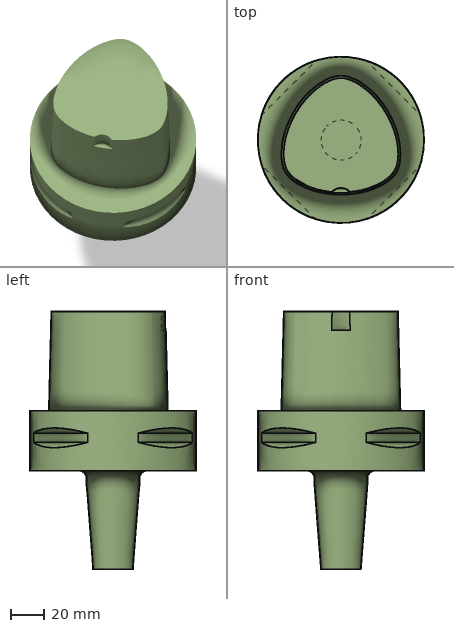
import cadquery as cq
import math

total_height = 155.0
flange_bottom = 59.2
flange_top = 95.3

flange_diameter = 100.0
groove_height = 79.0
groove_floor_width = 5.5
groove_floor_distance = 44.4
groove_flank_angle = 30.0
groove_count = 4

shank_diameter = 32.0
tip_diameter = 24.0
neck_length = 4.2
root_fillet = 4.2

lobe_mean_diameter = 71.6
lobe_height = 2.8
taper_ratio = 1 / 20
lobe_count = 3
first_lobe_angle = 90.0
lobe_half_angle = 22.5
points_per_face = 9

notch_diameter = 14.0
notch_depth = 11.5
notch_center_y = -35.8


def lobe_point(mean_diameter, normal_angle, z):
    """Point of the lobed outline whose outward normal is at normal_angle degrees."""
    normal = math.radians(normal_angle)
    phase = lobe_count * math.radians(normal_angle - first_lobe_angle)
    reach = mean_diameter / 2 + lobe_height * math.cos(phase)
    slide = -lobe_count * lobe_height * math.sin(phase)
    return cq.Vector(
        reach * math.cos(normal) - slide * math.sin(normal),
        reach * math.sin(normal) + slide * math.cos(normal),
        z,
    )


def lobe_tangent(normal_angle):
    normal = math.radians(normal_angle)
    return cq.Vector(-math.sin(normal), math.cos(normal), 0)


def outline_edge(mean_diameter, start, end, z):
    """Smooth stretch of the lobed outline between two normal angles."""
    step = (end - start) / (points_per_face - 1)
    points = [lobe_point(mean_diameter, start + i * step, z) for i in range(points_per_face)]
    return cq.Edge.makeSpline(points, tangents=[lobe_tangent(start), lobe_tangent(end)])


def lobed_outline(mean_diameter, z):
    """Closed outline of alternating lobe and side stretches."""
    pitch = 360 / lobe_count
    edges = []
    for i in range(lobe_count):
        lobe_start = first_lobe_angle + i * pitch - lobe_half_angle
        lobe_end = lobe_start + 2 * lobe_half_angle
        edges.append(outline_edge(mean_diameter, lobe_start, lobe_end, z))
        edges.append(outline_edge(mean_diameter, lobe_end, lobe_start + pitch, z))
    return cq.Wire.assembleEdges(edges)


def make_lobed_taper():
    top_mean_diameter = lobe_mean_diameter - taper_ratio * (total_height - flange_top)
    base = lobed_outline(lobe_mean_diameter, flange_top)
    top = lobed_outline(top_mean_diameter, total_height)
    return cq.Workplane(obj=cq.Solid.makeLoft([base, top], True))


def make_flange_and_shank():
    """Revolved flange, concave root fillet, short cylindrical neck and conical shank."""
    shank_radius = shank_diameter / 2
    flange_radius = flange_diameter / 2
    neck_top = flange_bottom - root_fillet
    arc_reach = root_fillet * (1 - math.sqrt(0.5))
    return (
        cq.Workplane("XZ")
        .lineTo(tip_diameter / 2, 0)
        .lineTo(shank_radius, neck_top - neck_length)
        .lineTo(shank_radius, neck_top)
        .threePointArc(
            (shank_radius + arc_reach, flange_bottom - arc_reach),
            (shank_radius + root_fillet, flange_bottom),
        )
        .lineTo(flange_radius, flange_bottom)
        .lineTo(flange_radius, flange_top)
        .lineTo(0, flange_top)
        .close()
        .revolve(360, (0, 0), (0, 1))
    )


def make_groove(angle):
    """Straight groove across the flange rim, with a flat floor and sloping flanks."""
    flange_radius = flange_diameter / 2
    half_floor = groove_floor_width / 2
    flank_rise = (flange_radius - groove_floor_distance) * math.tan(math.radians(groove_flank_angle))
    half_mouth = half_floor + flank_rise
    return (
        cq.Workplane("XZ")
        .moveTo(groove_floor_distance, groove_height - half_floor)
        .lineTo(flange_radius, groove_height - half_mouth)
        .lineTo(flange_radius, groove_height + half_mouth)
        .lineTo(groove_floor_distance, groove_height + half_floor)
        .close()
        .extrude(flange_radius, both=True)
        .rotate((0, 0, 0), (0, 0, 1), angle)
    )


def make_notch():
    return (
        cq.Workplane("XY", origin=(0, notch_center_y, total_height - notch_depth))
        .circle(notch_diameter / 2)
        .extrude(notch_depth)
    )


result = make_flange_and_shank().union(make_lobed_taper()).cut(make_notch())
groove_pitch = 360 / groove_count
for groove in range(groove_count):
    result = result.cut(make_groove((groove + 0.5) * groove_pitch))